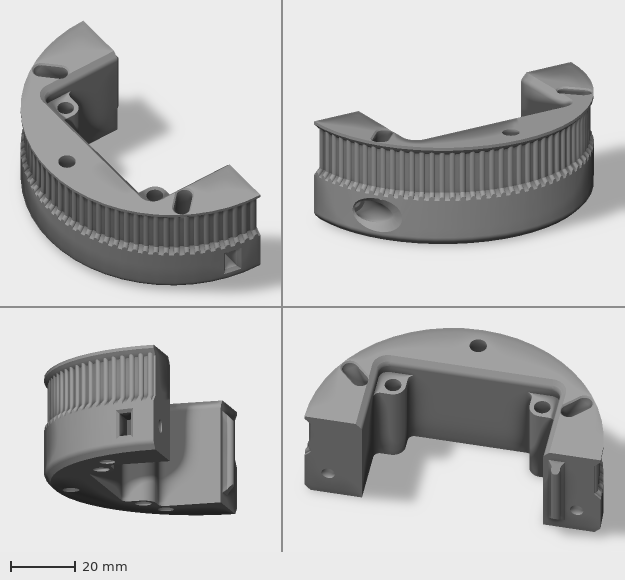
import cadquery as cq
import math

height = 33.0
outer_radius = 47.0
SLACK = 1.0
MARGIN = 0.1
CHAMFER_ANGLE = 45.0

edge_chamfer = 2.0
edge_rounding = 2.0

track_depth = 2.0
track_radius = outer_radius - track_depth
rim_thickness = 1.0
track_top = height - rim_thickness - track_depth
track_bottom = 17.2
ramp_foot = track_bottom - track_depth
tooth_radius = 0.9
teeth_per_turn = 90

channel_half_width = 28.7
channel_depth = 28.85
channel_corner_radius = 3.0

lug_x = 23.65
lug_y = -23.6
lug_radius = 4.0
lug_top = 27.5
lug_root_radius = 2.0
lug_hole_diameter = 5.2

middle_hole_diameter = 5.4
middle_hole_y = -40.2

duct_diameter = 5.0
duct_x = 33.05
duct_y = -19.0
duct_reach = 5.8
duct_heading = 45.0
duct_mouth_chamfer = 0.5

screw_x = 39.4
screw_z = 8.7
screw_hole_diameter = 4.2
screw_head_diameter = 7.0
screw_seat_y = -12.0
screw_mouth_chamfer = 2.0
nut_width = 7.2
nut_pocket_thickness = 3.9
nut_pocket_y = -9.8
nut_mouth_chamfer = 1.0

tongue_x = -33.05
tongue_half_width = 1.4
tongue_height = 3.0
tongue_tip_radius = 1.2
tongue_root_chamfer = 1.2
tongue_bottom = 3.5
tongue_top = 29.7


def half_turn(profile):
    """Revolve a (radius, Z) profile around Z through the -Y half."""
    return profile.close().revolve(180, (0, 0, 0), (0, 1, 0)).rotate((0, 0, 0), (0, 0, 1), 180)


def ring_body():
    tangent_length = edge_rounding * math.tan(math.radians(CHAMFER_ANGLE / 2))
    diagonal_step = tangent_length * math.sqrt(0.5)
    arc_start = (outer_radius - diagonal_step, edge_chamfer - diagonal_step)
    arc_end = (outer_radius, edge_chamfer + tangent_length)
    profile = (
        cq.Workplane("XZ")
        .lineTo(outer_radius - edge_chamfer, 0)
        .lineTo(*arc_start)
        .tangentArcPoint(arc_end, relative=False)
        .lineTo(outer_radius, ramp_foot)
        .lineTo(track_radius, track_bottom)
        .lineTo(track_radius, track_top)
        .lineTo(outer_radius, height - rim_thickness)
        .lineTo(outer_radius, height)
        .lineTo(0, height)
    )
    return half_turn(profile)


def belt_teeth():
    """Round teeth that rise along the track and follow its lower flank outwards."""
    ramp_length = 2 * track_depth * math.sqrt(2)
    upright = cq.Solid.makeCylinder(
        tooth_radius, track_top + track_depth - track_bottom, cq.Vector(track_radius, 0, track_bottom)
    )
    inclined = cq.Solid.makeCylinder(
        tooth_radius, ramp_length, cq.Vector(track_radius, 0, track_bottom), cq.Vector(1, 0, -1)
    )
    tooth = upright.fuse(inclined)
    pitch = 360 / teeth_per_turn
    middle_of_arc = -90
    teeth_each_side = teeth_per_turn // 4
    teeth = [
        tooth.rotate(cq.Vector(0, 0, 0), cq.Vector(0, 0, 1), middle_of_arc + index * pitch)
        for index in range(-teeth_each_side, teeth_each_side + 1)
    ]
    half_disc = cq.Workplane("XZ").lineTo(outer_radius, 0).lineTo(outer_radius, height).lineTo(0, height)
    envelope = half_turn(half_disc)
    return envelope.intersect(cq.Workplane(cq.Compound.makeCompound(teeth)))


def cut_channel(body):
    channel = (
        cq.Workplane("XY")
        .rect(2 * channel_half_width, 2 * channel_depth)
        .extrude(height)
        .edges("|Z")
        .fillet(channel_corner_radius)
    )
    body = body.cut(channel)
    body = channel_edges(body, height, channel_half_width).chamfer(edge_chamfer)
    return channel_edges(body, height - edge_chamfer, channel_half_width).fillet(edge_rounding)


def channel_edges(body, z, reach):
    """Edges of the channel wall at level z, without those on the split face."""
    low_corner = (-reach - MARGIN, -channel_depth - MARGIN, z - MARGIN)
    high_corner = (reach + MARGIN, MARGIN, z + MARGIN)
    edges = body.edges(cq.selectors.BoxSelector(low_corner, high_corner, boundingbox=True))
    return edges.edges(cq.selectors.BoxSelector(low_corner, (reach + MARGIN, -MARGIN, z + MARGIN)))


def add_lugs(body):
    corner_x = channel_half_width + SLACK
    corner_y = -channel_depth - SLACK
    inner_x = lug_x - lug_radius
    inner_y = lug_y + lug_radius
    root = lug_root_radius
    outline = (
        cq.Workplane("XY")
        .moveTo(corner_x, corner_y)
        .lineTo(inner_x - root, corner_y)
        .lineTo(inner_x - root, -channel_depth)
        .radiusArc((inner_x, -channel_depth + root), -root)
        .lineTo(inner_x, lug_y)
        .radiusArc((lug_x, inner_y), lug_radius)
        .lineTo(channel_half_width - root, inner_y)
        .radiusArc((channel_half_width, inner_y + root), -root)
        .lineTo(corner_x, inner_y + root)
    )
    lug = outline.close().extrude(lug_top)
    hole = cq.Workplane("XY").center(lug_x, lug_y).circle(lug_hole_diameter / 2).extrude(height)
    return body.union(lug).union(lug.mirror("YZ")).cut(hole).cut(hole.mirror("YZ"))


def bore_along_y(x, diameter, y_start, y_end):
    start = cq.Vector(x, y_start, screw_z)
    return cq.Workplane(cq.Solid.makeCylinder(diameter / 2, y_end - y_start, start, cq.Vector(0, 1, 0)))


def cut_clamping_screw(body):
    """Head bore from the round side, its mouth chamfered, and the screw hole to the split face."""
    head_bore = bore_along_y(-screw_x, screw_head_diameter, -outer_radius, screw_seat_y)
    body = body.cut(head_bore)
    reach = screw_head_diameter / 2 + MARGIN
    mouth = cq.selectors.BoxSelector(
        (-screw_x - reach, -outer_radius, screw_z - reach),
        (-screw_x + reach, screw_seat_y - MARGIN, screw_z + reach),
        boundingbox=True,
    )
    body = body.edges(mouth).edges("not %LINE").chamfer(screw_mouth_chamfer)
    return body.cut(bore_along_y(-screw_x, screw_hole_diameter, -outer_radius, SLACK))


def cut_nut_pocket(body):
    """Side pocket for a nut, chamfered at the mouth, and the screw hole that leads to it."""
    pocket_start = screw_x - nut_width / 2
    pocket = cq.Workplane("XY", origin=(pocket_start, nut_pocket_y, screw_z)).box(
        outer_radius - pocket_start, nut_pocket_thickness, nut_width, centered=(False, True, True)
    )
    body = body.cut(pocket)
    half_thickness = nut_pocket_thickness / 2 + MARGIN
    half_width = nut_width / 2 + MARGIN
    mouth = cq.selectors.BoxSelector(
        (screw_x + nut_width / 2, nut_pocket_y - half_thickness, screw_z - half_width),
        (outer_radius, nut_pocket_y + half_thickness, screw_z + half_width),
        boundingbox=True,
    )
    body = body.edges(mouth).chamfer(nut_mouth_chamfer)
    return body.cut(bore_along_y(screw_x, screw_hole_diameter, nut_pocket_y, SLACK))


def duct_cutter():
    """Duct on the -X side: a vertical hole, its inclined entry and the chamfered slot above."""
    radius = duct_diameter / 2
    heading = math.radians(duct_heading)
    step_x = duct_reach * math.cos(heading)
    step_y = duct_reach * math.sin(heading)
    entry_x = -duct_x - step_x
    entry_y = duct_y - step_y
    entry_z = height - duct_mouth_chamfer
    vertical = cq.Workplane("XY").center(-duct_x, duct_y).circle(radius).extrude(height)
    inclined = cq.Workplane(
        cq.Solid.makeCylinder(
            radius,
            duct_reach * math.sqrt(2),
            cq.Vector(entry_x, entry_y, entry_z),
            cq.Vector(step_x, step_y, -duct_reach),
        )
    )
    wedge = (
        cq.Workplane("XZ")
        .polyline([(0, entry_z), (0, height), (duct_reach, height), (duct_reach, entry_z - duct_reach)])
        .close()
        .extrude(radius, both=True)
        .rotate((0, 0, 0), (0, 0, 1), duct_heading)
        .translate((entry_x, entry_y, 0))
    )
    outer_end = cq.Workplane("XY", origin=(entry_x, entry_y, entry_z))
    end_ball = outer_end.sphere(radius)
    end_wall = outer_end.circle(radius).extrude(duct_mouth_chamfer)
    slot_width = duct_diameter + 2 * duct_mouth_chamfer
    mouth = (
        cq.Workplane("XY", origin=((entry_x - duct_x) / 2, (entry_y + duct_y) / 2, height))
        .transformed(rotate=(0, 0, duct_heading))
        .slot2D(duct_reach + slot_width, slot_width)
        .extrude(-duct_mouth_chamfer, taper=CHAMFER_ANGLE)
    )
    return vertical.union(inclined).union(end_ball).union(wedge).union(end_wall).union(mouth)


def locating_tongue():
    """Rounded rib on the split face whose ends slope at 45 degrees."""
    root = tongue_root_chamfer
    outline = (
        cq.Workplane("XY")
        .moveTo(-tongue_half_width - root, 0)
        .lineTo(-tongue_half_width, root)
        .lineTo(-tongue_half_width, tongue_height - tongue_tip_radius)
        .radiusArc((tongue_tip_radius - tongue_half_width, tongue_height), tongue_tip_radius)
        .lineTo(tongue_half_width - tongue_tip_radius, tongue_height)
        .radiusArc((tongue_half_width, tongue_height - tongue_tip_radius), tongue_tip_radius)
        .lineTo(tongue_half_width, root)
        .lineTo(tongue_half_width + root, 0)
        .lineTo(tongue_half_width + root, -SLACK)
        .lineTo(-tongue_half_width - root, -SLACK)
    )
    rib = outline.close().extrude(height)
    side_profile = (
        cq.Workplane("YZ")
        .moveTo(-SLACK, tongue_bottom)
        .lineTo(0, tongue_bottom)
        .lineTo(tongue_height, tongue_bottom + tongue_height)
        .lineTo(tongue_height, tongue_top - tongue_height)
        .lineTo(0, tongue_top)
        .lineTo(-SLACK, tongue_top)
    )
    rib = rib.intersect(side_profile.close().extrude(tongue_half_width + root, both=True))
    return rib.translate((tongue_x, 0, 0))


def cut_ducts(body):
    duct = duct_cutter()
    return body.cut(duct).cut(duct.mirror("YZ"))


def cut_middle_hole(body):
    hole = cq.Workplane("XY").center(0, middle_hole_y).circle(middle_hole_diameter / 2).extrude(height)
    return body.cut(hole)


result = cut_channel(ring_body())
result = add_lugs(result)
result = cut_clamping_screw(result)
result = cut_nut_pocket(result)
result = result.union(belt_teeth())
result = cut_ducts(result)
result = cut_middle_hole(result)
result = result.union(locating_tongue())